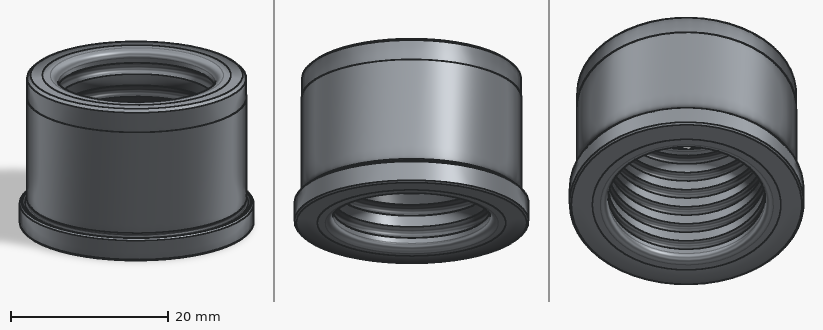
import cadquery as cq
import math

flange_diameter = 29.8
height = 20.0
bore_diameter = 20.0
flange_thickness = 3.0
flange_chamfer = 0.25

barrel_diameter = 28.0
pilot_diameter = 27.9
pilot_length = 3.0
pilot_chamfer_width = 0.45
pilot_chamfer_height = 0.4

barrel_base = 3.5
relief_depth = 0.12
relief_floor_diameter = 28.43
relief_rim_diameter = 29.03
relief_root_radius = 0.18
relief_angle = math.radians(45)

liner_diameter = 24.0
mouth_radius = 1.0
groove_count = 6
groove_pitch = 3.0
groove_radius = 0.75

flange_r = flange_diameter / 2
barrel_r = barrel_diameter / 2
pilot_r = pilot_diameter / 2
liner_r = liner_diameter / 2
bore_r = bore_diameter / 2
relief_floor_r = relief_floor_diameter / 2
relief_rim_r = relief_rim_diameter / 2
relief_floor = flange_thickness - relief_depth
pilot_base = height - pilot_length


def revolve_about_z(profile):
    """Turn a radius-height profile through a full circle about Z."""
    return profile.close().revolve(360, (0, 0, 0), (0, 1, 0))


def relief_root_points():
    """Floor end, middle and cone end of the arc between relief floor and cone."""
    apex_r = barrel_r - (barrel_base - relief_floor) / math.tan(relief_angle)
    tangent_length = relief_root_radius / math.tan(relief_angle / 2)
    centre_r = apex_r + tangent_length
    centre_level = relief_floor + relief_root_radius
    middle_angle = relief_angle / 2
    floor_end = (centre_r, relief_floor)
    middle = (
        centre_r - relief_root_radius * math.cos(middle_angle),
        centre_level - relief_root_radius * math.sin(middle_angle),
    )
    cone_end = (
        apex_r + tangent_length * math.cos(relief_angle),
        relief_floor + tangent_length * math.sin(relief_angle),
    )
    return floor_end, middle, cone_end


def make_housing():
    """Flanged sleeve with a rounded undercut and a slightly reduced pilot."""
    floor_end, root_middle, cone_end = relief_root_points()
    return revolve_about_z(
        cq.Workplane("XZ")
        .moveTo(liner_r, 0)
        .lineTo(flange_r - flange_chamfer, 0)
        .lineTo(flange_r, flange_chamfer)
        .lineTo(flange_r, flange_thickness - flange_chamfer)
        .lineTo(flange_r - flange_chamfer, flange_thickness)
        .lineTo(relief_rim_r, flange_thickness)
        .lineTo(relief_floor_r, relief_floor)
        .lineTo(*floor_end)
        .threePointArc(root_middle, cone_end)
        .lineTo(barrel_r, barrel_base)
        .lineTo(barrel_r, pilot_base)
        .lineTo(pilot_r, pilot_base)
        .lineTo(pilot_r, height - pilot_chamfer_height)
        .lineTo(pilot_r - pilot_chamfer_width, height)
        .lineTo(liner_r, height)
    )


def make_liner():
    """Sleeve with rounded mouths and evenly spaced half-round bore grooves."""
    mouth_middle_depth = mouth_radius * (1 - math.sqrt(0.5))
    mouth_middle_r = bore_r + mouth_middle_depth
    profile = (
        cq.Workplane("XZ")
        .moveTo(liner_r, height)
        .lineTo(liner_r, 0)
        .lineTo(bore_r + mouth_radius, 0)
        .threePointArc((mouth_middle_r, mouth_middle_depth), (bore_r, mouth_radius))
    )
    lowest_groove = (height - (groove_count - 1) * groove_pitch) / 2
    for index in range(groove_count):
        level = lowest_groove + index * groove_pitch
        profile = profile.lineTo(bore_r, level - groove_radius).threePointArc(
            (bore_r + groove_radius, level), (bore_r, level + groove_radius)
        )
    profile = profile.lineTo(bore_r, height - mouth_radius).threePointArc(
        (mouth_middle_r, height - mouth_middle_depth), (bore_r + mouth_radius, height)
    )
    return revolve_about_z(profile)


housing = make_housing()
liner = make_liner()
result = cq.Compound.makeCompound([housing.val(), liner.val()])